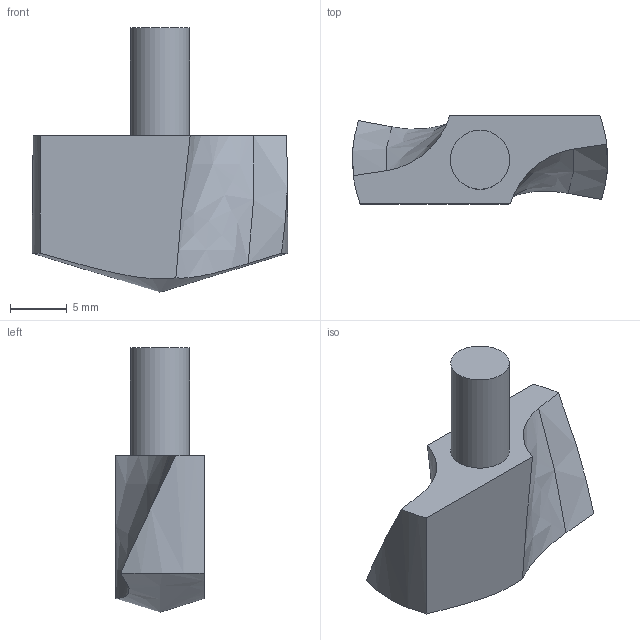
import cadquery as cq
import math

cutting_diameter = 22.5
web_thickness = 7.77
total_height = 23.3
shank_diameter = 5.2
shank_length = 9.5
point_slope = 17.0

flute_radius = 6.9
flute_tangent_x = 8.25
flute_tangent_y = 0.95
flute_wall_slope = 8.5
twist_rate = 2.42
flute_overrun = 1.0
flute_side_clearance = 3.5

cutting_radius = cutting_diameter / 2
shoulder_height = cutting_radius * math.tan(math.radians(point_slope))
body_top = total_height - shank_length


def make_blade():
    """Pointed cylinder trimmed to a flat slab."""
    pointed_cylinder = (
        cq.Workplane("XZ")
        .moveTo(0, 0)
        .lineTo(cutting_radius, shoulder_height)
        .lineTo(cutting_radius, body_top)
        .lineTo(0, body_top)
        .close()
        .revolve(360, (0, 0, 0), (0, 1, 0))
    )
    slab = cq.Workplane("XY").box(
        2 * cutting_diameter, web_thickness, body_top, centered=(True, True, False)
    )
    return pointed_cylinder.intersect(slab)


def make_flute_cutter():
    """Twisted solid that removes the flute on the +X, -Y side."""
    slope = math.radians(flute_wall_slope)
    center_x = flute_tangent_x + flute_radius * math.sin(slope)
    center_y = flute_tangent_y - flute_radius * math.cos(slope)
    round_start = (center_x - flute_radius, center_y)
    mid_angle = (math.pi + math.pi / 2 + slope) / 2
    round_middle = (
        center_x + flute_radius * math.cos(mid_angle),
        center_y + flute_radius * math.sin(mid_angle),
    )
    outer_x = cutting_radius + flute_side_clearance
    outer_y = flute_tangent_y + (outer_x - flute_tangent_x) * math.tan(slope)
    depth = body_top + flute_overrun
    return (
        cq.Workplane("XY")
        .moveTo(*round_start)
        .threePointArc(round_middle, (flute_tangent_x, flute_tangent_y))
        .lineTo(outer_x, outer_y)
        .lineTo(outer_x, -cutting_radius)
        .lineTo(round_start[0], -cutting_radius)
        .close()
        .twistExtrude(-depth, twist_rate * depth)
        .translate((0, 0, body_top))
    )


def make_shank():
    return (
        cq.Workplane("XY")
        .workplane(offset=body_top)
        .circle(shank_diameter / 2)
        .extrude(shank_length)
    )


blade = make_blade()
flute_cutter = make_flute_cutter()
for turn in (0, 180):
    blade = blade.cut(flute_cutter.rotate((0, 0, 0), (0, 0, 1), turn))

result = blade.union(make_shank())